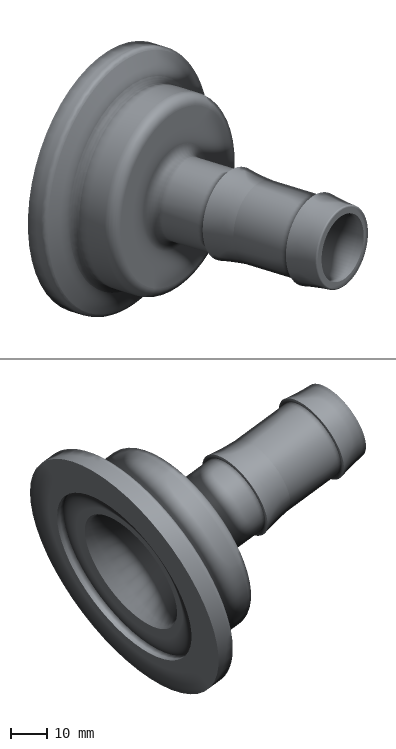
import cadquery as cq
import math


length = 79.75
flange_radius = 78.0 / 2
rim_width = 4.6
rim_fillet = 1.5
flange_back_angle = math.radians(71.0)

hub_radius = 58.95 / 2
hub_end = 22.6
hub_edge_fillet = 3.2
hub_root_fillet = 2.4

stem_radius = 24.4 / 2
stem_root_fillet = 3.2
barb_radius = 13.5
barb_length = 9.65
barb_flank_hollow = 0.15
first_barb_start = 41.5
second_barb_start = length - barb_length
tip_fillet = 0.5

recess_radius = 55.6 / 2
recess_depth = 2.5
entry_radius = 38.1 / 2
bore_radius = 19.8 / 2
entry_end = 20.0


def revolve_about_x(profile):
    return profile.close().revolve(360, (0, 0, 0), (1, 0, 0))


def fillet_at(body, x, radius, size):
    """Round the circular edge with the given radius lying in the plane at x."""
    tolerance = 0.04
    edge_box = cq.selectors.BoxSelector(
        (x - tolerance, -radius - tolerance, -radius - tolerance),
        (x + tolerance, radius + tolerance, radius + tolerance),
        boundingbox=True,
    )
    edges = body.edges(edge_box).filter(lambda edge: abs(edge.radius() - radius) < tolerance)
    return edges.fillet(size)


def make_flange_hub_and_stem():
    rim_corner = rim_width + rim_fillet * math.tan(flange_back_angle / 2)
    hub_root = rim_corner + (flange_radius - hub_radius) / math.tan(flange_back_angle)
    body = revolve_about_x(
        cq.Workplane("XY")
        .lineTo(0, flange_radius)
        .lineTo(rim_corner, flange_radius)
        .lineTo(hub_root, hub_radius)
        .lineTo(hub_end, hub_radius)
        .lineTo(hub_end, stem_radius)
        .lineTo(length, stem_radius)
        .lineTo(length, 0)
    )
    body = fillet_at(body, rim_corner, flange_radius, rim_fillet)
    body = fillet_at(body, hub_root, hub_radius, hub_root_fillet)
    body = fillet_at(body, hub_end, hub_radius, hub_edge_fillet)
    return fillet_at(body, hub_end, stem_radius, stem_root_fillet)


def make_barb(start):
    """Ring with a concave flank that falls to the stem radius."""
    end = start + barb_length
    flank_middle = (
        (start + end) / 2,
        (barb_radius + stem_radius) / 2 - barb_flank_hollow,
    )
    return revolve_about_x(
        cq.Workplane("XY")
        .moveTo(start, bore_radius)
        .lineTo(start, barb_radius)
        .threePointArc(flank_middle, (end, stem_radius))
        .lineTo(end, bore_radius)
    )


def make_passage():
    return revolve_about_x(
        cq.Workplane("XY")
        .lineTo(0, recess_radius)
        .lineTo(recess_depth, recess_radius)
        .lineTo(recess_depth, entry_radius)
        .lineTo(entry_end, bore_radius)
        .lineTo(length, bore_radius)
        .lineTo(length, 0)
    )


body = make_flange_hub_and_stem()
for barb_start in (first_barb_start, second_barb_start):
    body = body.union(make_barb(barb_start))
body = fillet_at(body, length, stem_radius, tip_fillet)
result = body.cut(make_passage())